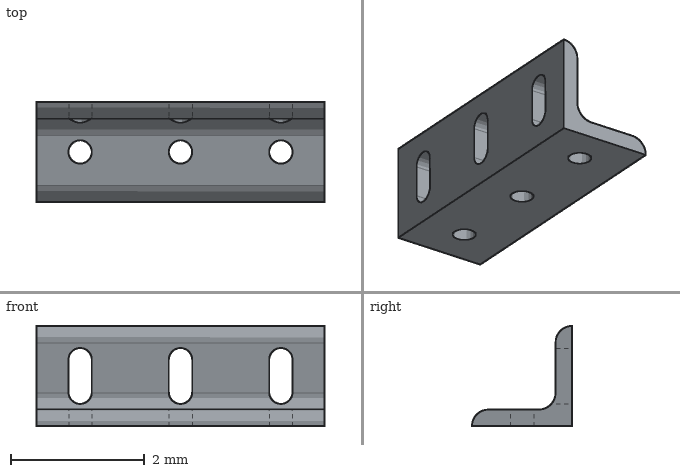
import cadquery as cq
import math

length = 4.31
leg = 1.5
thickness = 0.25
inner_radius = 0.25
hole_diameter = 0.345
slot_length = 0.83
pitch = 1.5
opening_count = 3

leg_middle = leg / 2
opening_x = [(i - (opening_count - 1) / 2) * pitch for i in range(opening_count)]


def angle_bar():
    """L section with the outer corner at Y = Z = 0 and quarter-round tips."""
    arc_offset = thickness * math.cos(math.pi / 4)
    tip_start = leg - thickness
    inner_end = thickness + inner_radius
    inner_mid = inner_end - inner_radius * math.cos(math.pi / 4)
    return (
        cq.Workplane("YZ", origin=(-length / 2, 0, 0))
        .moveTo(0, 0)
        .lineTo(-leg, 0)
        .threePointArc((-tip_start - arc_offset, arc_offset), (-tip_start, thickness))
        .lineTo(-inner_end, thickness)
        .threePointArc((-inner_mid, inner_mid), (-thickness, inner_end))
        .lineTo(-thickness, tip_start)
        .threePointArc((-arc_offset, tip_start + arc_offset), (0, leg))
        .close()
        .extrude(length)
    )


def base_holes():
    """Round holes through the horizontal leg."""
    return (
        cq.Workplane("XY")
        .pushPoints([(x, -leg_middle) for x in opening_x])
        .circle(hole_diameter / 2)
        .extrude(leg)
    )


def wall_slots():
    """Upright slots through the vertical leg, as wide as the round holes."""
    return (
        cq.Workplane("XZ")
        .pushPoints([(x, leg_middle) for x in opening_x])
        .slot2D(slot_length, hole_diameter, 90)
        .extrude(leg)
    )


result = angle_bar().cut(base_holes()).cut(wall_slots())